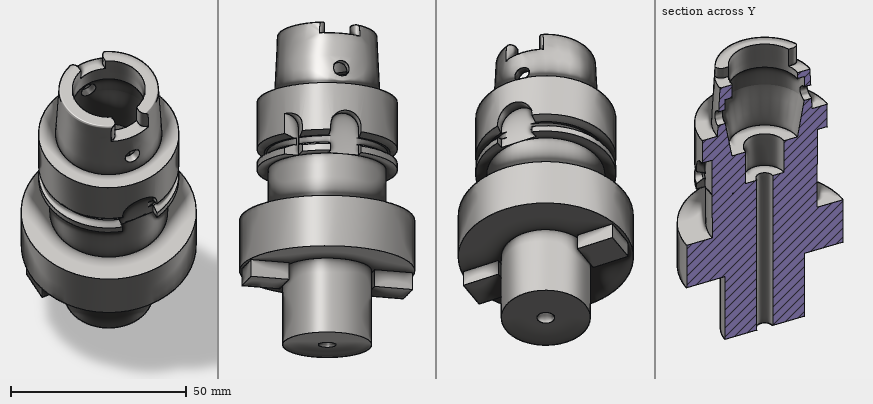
import cadquery as cq
import math

KEY_BOTTOM = 17.0
COLLAR_BOTTOM = 22.0
COLLAR_TOP = 37.0
FLANGE_BOTTOM = 52.0
FLANGE_TOP = 72.0
SHANK_TOP = 92.0

PILOT_RADIUS = 12.7
COLLAR_DIAMETER = 50.0
COLLAR_RADIUS = COLLAR_DIAMETER / 2
BODY_RADIUS = 16.8
FLANGE_DIAMETER = 40.0
FLANGE_RADIUS = FLANGE_DIAMETER / 2
SHANK_BASE_RADIUS = 15.2
SHANK_TAPER = 1 / 20
SHANK_TOP_RADIUS = SHANK_BASE_RADIUS - SHANK_TAPER * (SHANK_TOP - FLANGE_TOP)
RIM_ROUND = 0.6

GROOVE_CENTER = 56.0
GROOVE_FLOOR_RADIUS = 17.3
GROOVE_STEP_RADIUS = 17.9
GROOVE_FLOOR_WIDTH = 2.0
GROOVE_MOUTH_WIDTH = 4.2

MOUTH_RADIUS = 10.4
LIP_DEPTH = 8.1
UNDERCUT_RADIUS = 12.6
UNDERCUT_DEPTH = 15.8
FLOOR_CONE_ANGLE = 10
COUNTERBORE_RADIUS = 6.1
COUNTERBORE_DEPTH = 11.0
COOLANT_HOLE_RADIUS = 2.5

NOTCH_WIDTH = 7.9
NOTCH_CORNER_ROUND = 2.0
NOTCH_FLARE_X = 13.0
SHALLOW_NOTCH_DEPTH = 3.4
DEEP_NOTCH_DEPTH = 5.9

CROSS_HOLE_DIAMETER = 4.6
CROSS_HOLE_HEIGHT = 78.0

KEYWAY_TOP = 64.0
NARROW_KEYWAY_WIDTH = 9.0
WIDE_KEYWAY_WIDTH = 11.0

POCKET_WIDTH = 7.9
POCKET_CENTER_Y = 15.9
POCKET_FLOOR_X = 12.0

KEY_WIDTH = 9.75
KEY_OUTER_END = 23.9


def turned_body():
    """Solid of revolution with the gripper groove and a rounded shank rim."""
    half_floor = GROOVE_FLOOR_WIDTH / 2
    half_mouth = GROOVE_MOUTH_WIDTH / 2
    return (
        cq.Workplane("XZ")
        .polyline([
            (0, 0),
            (PILOT_RADIUS, 0),
            (PILOT_RADIUS, COLLAR_BOTTOM),
            (COLLAR_RADIUS, COLLAR_BOTTOM),
            (COLLAR_RADIUS, COLLAR_TOP),
            (BODY_RADIUS, COLLAR_TOP),
            (BODY_RADIUS, FLANGE_BOTTOM),
            (FLANGE_RADIUS, FLANGE_BOTTOM),
            (FLANGE_RADIUS, GROOVE_CENTER - half_mouth),
            (GROOVE_STEP_RADIUS, GROOVE_CENTER - half_floor),
            (GROOVE_FLOOR_RADIUS, GROOVE_CENTER - half_floor),
            (GROOVE_FLOOR_RADIUS, GROOVE_CENTER + half_floor),
            (GROOVE_STEP_RADIUS, GROOVE_CENTER + half_floor),
            (FLANGE_RADIUS, GROOVE_CENTER + half_mouth),
            (FLANGE_RADIUS, FLANGE_TOP),
            (SHANK_BASE_RADIUS, FLANGE_TOP),
            (SHANK_TOP_RADIUS, SHANK_TOP),
            (0, SHANK_TOP),
        ])
        .close()
        .revolve(360, (0, 0), (0, 1))
        .faces(">Z")
        .edges()
        .fillet(RIM_ROUND)
    )


def inner_cavity():
    """Lip, undercut and conical run-out of the shank, and the stepped axial bore."""
    lip_bottom = SHANK_TOP - LIP_DEPTH
    cone_top = SHANK_TOP - UNDERCUT_DEPTH
    cone_height = (UNDERCUT_RADIUS - MOUTH_RADIUS) / math.tan(math.radians(FLOOR_CONE_ANGLE))
    cavity_floor = cone_top - cone_height
    counterbore_floor = cavity_floor - COUNTERBORE_DEPTH
    return (
        cq.Workplane("XZ")
        .polyline([
            (0, 0),
            (COOLANT_HOLE_RADIUS, 0),
            (COOLANT_HOLE_RADIUS, counterbore_floor),
            (COUNTERBORE_RADIUS, counterbore_floor),
            (COUNTERBORE_RADIUS, cavity_floor),
            (MOUTH_RADIUS, cavity_floor),
            (UNDERCUT_RADIUS, cone_top),
            (UNDERCUT_RADIUS, lip_bottom),
            (MOUTH_RADIUS, lip_bottom),
            (MOUTH_RADIUS, SHANK_TOP),
            (0, SHANK_TOP),
        ])
        .close()
        .revolve(360, (0, 0), (0, 1))
    )


def rim_notch(side, depth):
    """Notch cutter on one side of the axis (side = -1 or +1 along X).

    Its sides flare outwards so that the outer corners of the rim are left rounded.
    """
    half_width = NOTCH_WIDTH / 2
    arc_center_y = half_width + NOTCH_CORNER_ROUND
    arc_center_x = NOTCH_FLARE_X - NOTCH_CORNER_ROUND
    arc_middle_offset = NOTCH_CORNER_ROUND * math.sin(math.radians(45))
    arc_middle_x = arc_center_x + arc_middle_offset
    arc_middle_y = arc_center_y - arc_middle_offset
    return (
        cq.Workplane("XY", origin=(0, 0, SHANK_TOP - depth))
        .moveTo(0, -half_width)
        .lineTo(side * arc_center_x, -half_width)
        .threePointArc((side * arc_middle_x, -arc_middle_y), (side * NOTCH_FLARE_X, -arc_center_y))
        .lineTo(side * SHANK_BASE_RADIUS, -arc_center_y)
        .lineTo(side * SHANK_BASE_RADIUS, arc_center_y)
        .lineTo(side * NOTCH_FLARE_X, arc_center_y)
        .threePointArc((side * arc_middle_x, arc_middle_y), (side * arc_center_x, half_width))
        .lineTo(0, half_width)
        .close()
        .extrude(depth)
    )


def cross_hole():
    """Radial hole through both walls of the shank along X."""
    return (
        cq.Workplane("YZ")
        .center(0, CROSS_HOLE_HEIGHT)
        .circle(CROSS_HOLE_DIAMETER / 2)
        .extrude(SHANK_BASE_RADIUS, both=True)
    )


def keyway(side, width, center_y, floor_x):
    """Round-topped flange slot, open at the lower face, with a flat floor facing along X."""
    radius = width / 2
    arc_center = KEYWAY_TOP - radius
    return (
        cq.Workplane("YZ", origin=(side * floor_x, 0, 0))
        .moveTo(center_y - radius, FLANGE_BOTTOM)
        .lineTo(center_y - radius, arc_center)
        .threePointArc((center_y, KEYWAY_TOP), (center_y + radius, arc_center))
        .lineTo(center_y + radius, FLANGE_BOTTOM)
        .close()
        .extrude(side * FLANGE_RADIUS)
    )


def driving_keys():
    """Pair of blocks under the collar along Y, with inner ends touching the pilot."""
    key_length = KEY_OUTER_END - PILOT_RADIUS
    key_center_y = (KEY_OUTER_END + PILOT_RADIUS) / 2
    return (
        cq.Workplane("XY", origin=(0, 0, KEY_BOTTOM))
        .pushPoints([(0, -key_center_y), (0, key_center_y)])
        .rect(KEY_WIDTH, key_length)
        .extrude(COLLAR_BOTTOM - KEY_BOTTOM)
    )


result = (
    turned_body()
    .union(driving_keys())
    .cut(inner_cavity())
    .cut(rim_notch(-1, SHALLOW_NOTCH_DEPTH))
    .cut(rim_notch(1, DEEP_NOTCH_DEPTH))
    .cut(cross_hole())
    .cut(keyway(-1, NARROW_KEYWAY_WIDTH, 0, BODY_RADIUS))
    .cut(keyway(1, WIDE_KEYWAY_WIDTH, 0, BODY_RADIUS))
    .cut(keyway(-1, POCKET_WIDTH, POCKET_CENTER_Y, POCKET_FLOOR_X))
)